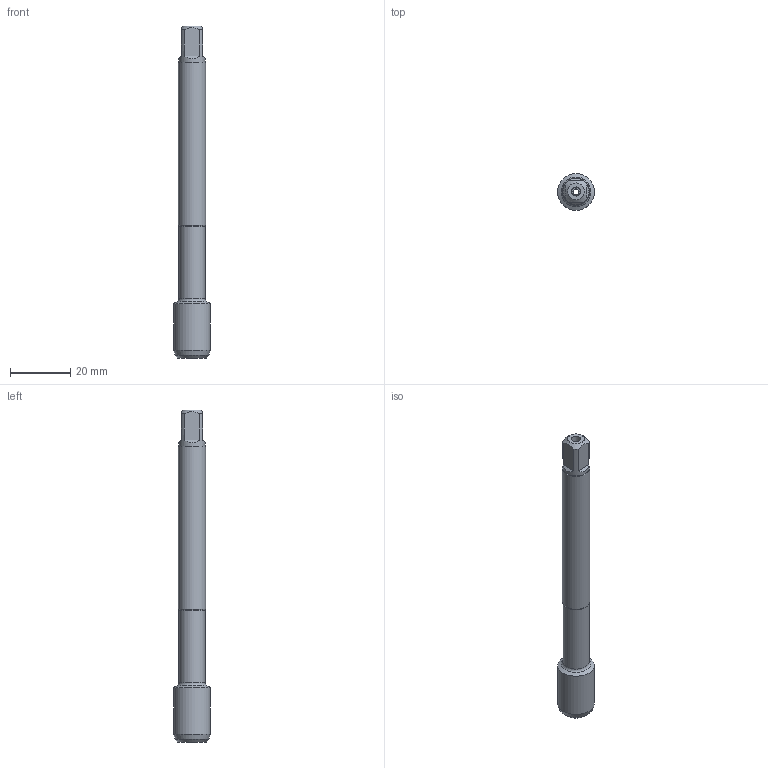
import cadquery as cq
import math

total_length = 110.0
thread_length = 18.0
neck_end = 44.0
square_length = 10.0
collar_length = 2.0
shank_end = total_length - square_length - collar_length

thread_diameter = 12.2
neck_diameter = 8.7
shank_diameter = 9.0
drive_diameter = 8.64
shank_bore_diameter = 3.0
tip_bore_diameter = 2.0

lead_start = 2.5
lead_reduction = 0.6
tip_chamfer = 0.85

runout_angle = math.radians(30)
blend_radius = 1.15

neck_cone_height = 0.35

square_width = 7.0
flat_count = 4
end_chamfer_width = 1.5
end_chamfer_height = 1.25

thread_radius = thread_diameter / 2
neck_radius = neck_diameter / 2
shank_radius = shank_diameter / 2
drive_radius = drive_diameter / 2


def make_head():
    """Threaded head, modelled as a plain cylinder with a tapered lead and a coolant bore."""
    bore_radius = tip_bore_diameter / 2
    lead_radius = thread_radius - lead_reduction
    return (
        cq.Workplane("XZ")
        .moveTo(bore_radius, 0)
        .lineTo(lead_radius - tip_chamfer, 0)
        .lineTo(lead_radius, tip_chamfer)
        .lineTo(thread_radius, lead_start)
        .lineTo(thread_radius, thread_length)
        .lineTo(bore_radius, thread_length)
        .close()
        .revolve(360, (0, 0, 0), (0, 1, 0))
    )


def make_turned_shank():
    """Runout cone, neck, shank and round drive end with a coolant bore through them."""
    bore_radius = shank_bore_diameter / 2

    blend_turn = math.pi / 2 - runout_angle
    cone_top_radius = neck_radius + blend_radius * (1 - math.cos(blend_turn))
    cone_top = thread_length + (thread_radius - cone_top_radius) * math.tan(runout_angle)
    blend_top = cone_top + blend_radius * math.sin(blend_turn)
    blend_middle = (
        neck_radius + blend_radius * (1 - math.cos(blend_turn / 2)),
        blend_top - blend_radius * math.sin(blend_turn / 2),
    )
    return (
        cq.Workplane("XZ")
        .moveTo(bore_radius, thread_length)
        .lineTo(thread_radius, thread_length)
        .lineTo(cone_top_radius, cone_top)
        .threePointArc(blend_middle, (neck_radius, blend_top))
        .lineTo(neck_radius, neck_end - neck_cone_height)
        .lineTo(shank_radius, neck_end)
        .lineTo(shank_radius, shank_end)
        .lineTo(drive_radius, shank_end)
        .lineTo(drive_radius, total_length - end_chamfer_height)
        .lineTo(drive_radius - end_chamfer_width, total_length)
        .lineTo(bore_radius, total_length)
        .close()
        .revolve(360, (0, 0, 0), (0, 1, 0))
    )


def make_flat_cutter():
    """Material removed for one flat of the square drive, with a 45 degree ledge at its foot."""
    flat_offset = square_width / 2
    foot = total_length - square_length
    cut_depth = shank_radius - flat_offset
    return (
        cq.Workplane("XZ")
        .moveTo(flat_offset, foot)
        .lineTo(flat_offset + cut_depth, foot - cut_depth)
        .lineTo(flat_offset + cut_depth, total_length)
        .lineTo(flat_offset, total_length)
        .close()
        .extrude(shank_radius, both=True)
    )


def make_shank():
    """Turned shank with four flats forming the square drive."""
    shank = make_turned_shank()
    for index in range(flat_count):
        cutter = make_flat_cutter().rotate((0, 0, 0), (0, 0, 1), index * 360 / flat_count)
        shank = shank.cut(cutter)
    return shank


head = make_head()
shank = make_shank()

result = cq.Compound.makeCompound([head.val(), shank.val()])